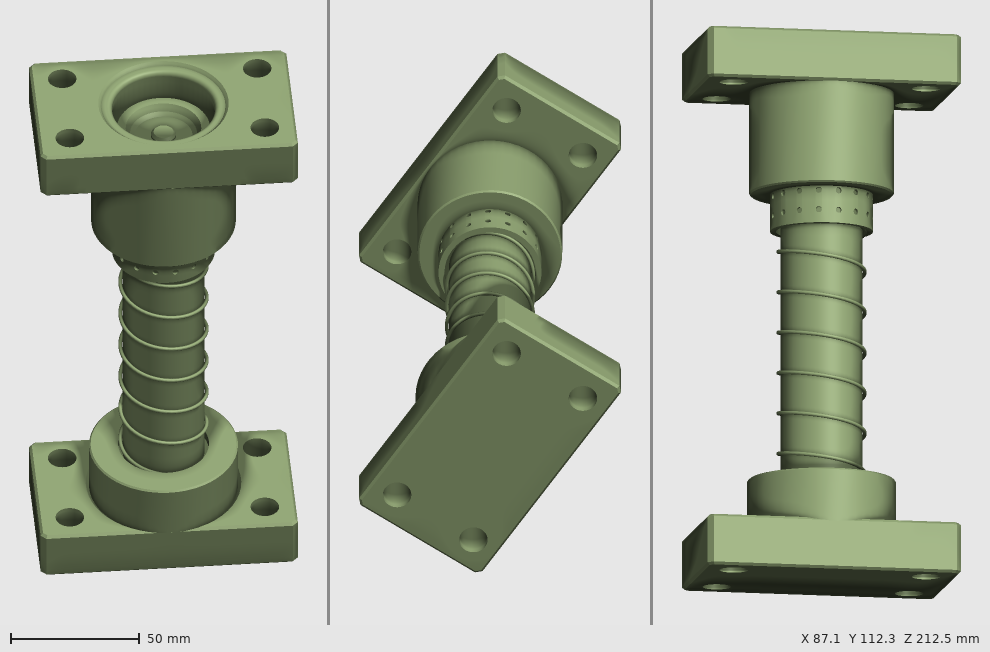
import cadquery as cq
import math

total_height = 212.5
plate_thickness = 20.0
collar_top = 39.7
cage_bottom = 138.1
bushing_bottom = 152.5
top_plate_bottom = total_height - plate_thickness

plate_width = 57.8
plate_length = 100.0
plate_turn = -20.0
corner_chamfer = 2.1
edge_chamfer = 1.0
rim_size = 1.3
bolt_hole_diameter = 11.0
bolt_spacing_width = 35.7
bolt_spacing_length = 75.9

collar_radius = 29.0
collar_chamfer = 0.6
collar_bottom = plate_thickness - rim_size
post_radius = 16.0

bushing_radius = 28.0
bushing_chamfer = 0.6
neck_radius = 24.0
neck_top = total_height - rim_size
bushing_bore_radius = 20.0
bore_rounding = 2.0

cage_radius = bushing_bore_radius
pocket_diameter = 2.3
pocket_depth = 1.0
pockets_per_row = 16
pocket_row_heights = [5.0, 12.7]

cap_radius = 18.0
cap_top = total_height - 12.5
cap_thickness = 6.4
cap_bottom = cap_top - cap_thickness
dish_rim_radius = 14.7
dish_step_radius = 13.0
dish_step_depth = 2.5
dish_floor_radius = 11.3
dish_depth = 3.8
screw_radius = 4.9
screw_chamfer = 1.0
screw_rise = 2.0
screw_depth_in_post = 12.7
screw_top = cap_top - dish_depth + screw_rise
screw_bottom = cap_bottom - screw_depth_in_post

wire_radius = 0.75
spring_clearance = 0.1
coil_radius = post_radius + spring_clearance + wire_radius
coil_pitch = 16.0
coil_turns = 6.5
seat_radius = coil_radius + wire_radius + spring_clearance
seat_depth = 3.6
coil_start = 37.2


def cylinder(radius, bottom, top):
    """Cylinder on the Z axis between two heights."""
    return cq.Workplane("XY").workplane(offset=bottom).circle(radius).extrude(top - bottom)


def make_plate(bottom):
    """Chamfered rectangular plate with four bolt holes, turned about the post axis."""
    plate = (
        cq.Workplane("XY")
        .rect(plate_width, plate_length)
        .extrude(plate_thickness)
        .edges("|Z")
        .chamfer(corner_chamfer)
        .faces("<Z or >Z")
        .edges()
        .chamfer(edge_chamfer)
        .faces(">Z")
        .workplane(origin=(0, 0, plate_thickness))
        .rect(bolt_spacing_width, bolt_spacing_length, forConstruction=True)
        .vertices()
        .hole(bolt_hole_diameter)
    )
    return plate.rotate((0, 0, 0), (0, 0, 1), plate_turn).translate((0, 0, bottom))


def rim_cutter(radius, top):
    """Cone that opens a round seat of the given radius to a wider rim at the top."""
    return cq.Workplane(
        cq.Solid.makeCone(radius, radius + rim_size, rim_size, cq.Vector(0, 0, top - rim_size))
    )


def make_bottom_plate():
    """Plate with a shallow flared seat for the collar; the seat just breaks the long sides."""
    return make_plate(0).cut(rim_cutter(collar_radius, plate_thickness))


def make_top_plate():
    """Plate bored for the bushing neck, with a flared rim above the neck."""
    bore = cylinder(neck_radius, top_plate_bottom, total_height)
    return make_plate(top_plate_bottom).cut(bore).cut(rim_cutter(neck_radius, total_height))


def make_collar():
    """Ring round the foot of the post, with a seat for the spring."""
    ring = cylinder(collar_radius, collar_bottom, collar_top).faces(">Z").chamfer(collar_chamfer)
    bore = cylinder(post_radius, collar_bottom, collar_top)
    seat = cylinder(seat_radius, collar_top - seat_depth, collar_top)
    return ring.cut(bore).cut(seat)


def make_post():
    """Plain post, tapped on top for the screw."""
    post = cylinder(post_radius, collar_bottom, cap_bottom)
    return post.cut(cylinder(screw_radius, screw_bottom, cap_bottom))


def make_bushing():
    """Bushing whose neck is let into the top plate."""
    body = cylinder(bushing_radius, bushing_bottom, top_plate_bottom).faces("<Z").chamfer(bushing_chamfer)
    neck = cylinder(neck_radius, top_plate_bottom, neck_top)
    bore = cylinder(bushing_bore_radius, bushing_bottom, neck_top)
    bushing = body.union(neck).cut(bore)
    return bushing.faces(">Z").edges(cq.selectors.RadiusNthSelector(0)).fillet(bore_rounding)


def make_cage():
    """Sleeve between post and bushing with rows of ball pockets round its lower end."""
    sleeve = cylinder(cage_radius, cage_bottom, cap_bottom)
    bore = cylinder(post_radius, cage_bottom, cap_bottom)
    seat = cylinder(seat_radius, cage_bottom, cage_bottom + seat_depth)
    cage = sleeve.cut(bore).cut(seat)
    for height in pocket_row_heights:
        for index in range(pockets_per_row):
            angle = math.radians((index + 0.5) * 360 / pockets_per_row)
            outward = cq.Vector(math.cos(angle), math.sin(angle), 0)
            start = outward * (cage_radius - pocket_depth) + cq.Vector(0, 0, cage_bottom + height)
            pocket = cq.Solid.makeCylinder(pocket_diameter / 2, 2 * pocket_depth, start, outward)
            cage = cage.cut(cq.Workplane(pocket))
    return cage


def make_cap():
    """Dished disc on the post, with a hole for the screw."""
    profile = (
        cq.Workplane("XZ")
        .moveTo(screw_radius, cap_bottom)
        .lineTo(cap_radius, cap_bottom)
        .lineTo(cap_radius, cap_top)
        .lineTo(dish_rim_radius, cap_top)
        .lineTo(dish_step_radius, cap_top - dish_step_depth)
        .lineTo(dish_floor_radius, cap_top - dish_depth)
        .lineTo(screw_radius, cap_top - dish_depth)
        .close()
    )
    return profile.revolve(360, (0, 0, 0), (0, 1, 0))


def make_screw():
    """Headless screw through the cap into the post."""
    return cylinder(screw_radius, screw_bottom, screw_top).faces(">Z").chamfer(screw_chamfer)


def make_spring():
    """Coil spring between collar and cage."""
    helix = cq.Wire.makeHelix(coil_pitch, coil_turns * coil_pitch, coil_radius, lefthand=True)
    coil = (
        cq.Workplane("XZ")
        .center(coil_radius, 0)
        .circle(wire_radius)
        .sweep(cq.Workplane(helix), isFrenet=True)
    )
    return coil.translate((0, 0, coil_start))


bottom_plate = make_bottom_plate()
top_plate = make_top_plate()
collar = make_collar()
post = make_post()
bushing = make_bushing()
cage = make_cage()
cap = make_cap()
screw = make_screw()
spring = make_spring()

result = cq.Compound.makeCompound(
    [
        bottom_plate.val(),
        top_plate.val(),
        collar.val(),
        post.val(),
        bushing.val(),
        cage.val(),
        cap.val(),
        screw.val(),
        spring.val(),
    ]
)